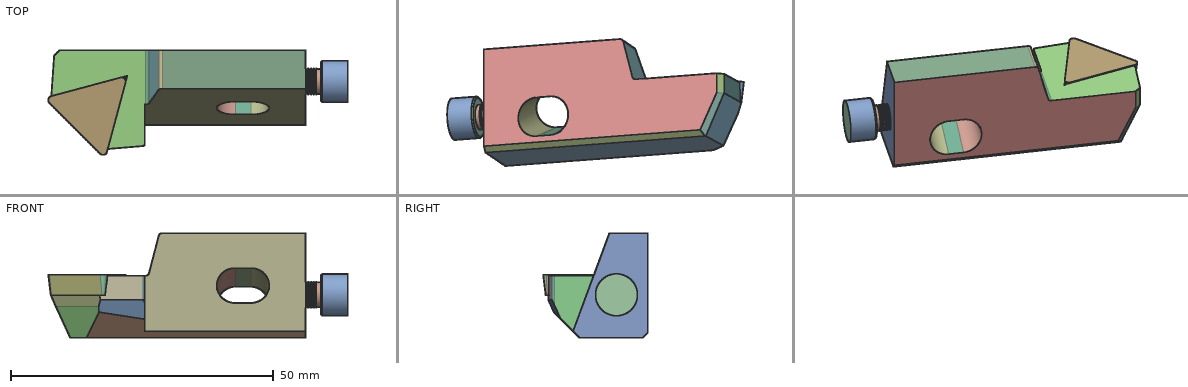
import cadquery as cq
import math

total_length = 57.15
total_depth = 20.0
total_height = 20.0
cutter_margin = 11.45

block_start_x = 18.45
block_end_x = 49.1
block_top_depth = 7.4
front_tilt = 20.0
underside_front_y = -13.05
front_bevel_height = 1.25
bevel_angle = 45.0
back_chamfer = 1.05

shoulder_foot_x = 19.1
shoulder_top_x = 21.2
shoulder_foot_radius = 0.7
shoulder_top_radius = 0.75

slot_center_x = 37.15
slot_center_z = 10.0
slot_length = 10.0
slot_width = 7.1

head_top_z = 11.9
head_left_x = 1.2
side_angle = 4.8
left_angle = 4.0
head_front_y = -18.3
head_corner_radius = 0.45
front_slope_top_z = 7.25
wall_slope = 24.5
nose_slope_top_z = 6.05
nose_slope = 20.0
corner_slope = 17.9

insert_top_z = 12.05
insert_thickness = 3.95
insert_inradius = 4.75
insert_nose_radius = 0.8
insert_relief = 7.0
edge_angle = 60.0
insert_turn = 45.0

screw_y = -6.0
screw_z = 8.25
thread_radius = 2.5
thread_pitch = 0.5
thread_depth = 0.3
thread_count = 4
neck_radius = 2.4
head_start_x = 52.0
screw_head_radius = 4.0
screw_head_chamfer = 0.3


def tangent(degrees):
    return math.tan(math.radians(degrees))


corner_reach = 2 * insert_inradius
nose_center_reach = corner_reach - 2 * insert_nose_radius
insert_center_x = nose_center_reach * math.cos(math.radians(edge_angle - insert_turn)) + insert_nose_radius
insert_center_y = insert_center_x - total_depth
left_slope_top_z = insert_top_z - insert_thickness

edge_sum = insert_center_x + insert_center_y - math.sqrt(2) * insert_inradius


def insert_triangle():
    corners = []
    for turn in (0, 120, 240):
        angle = math.radians(insert_turn + turn)
        x = insert_center_x + corner_reach * math.cos(angle)
        y = insert_center_y + corner_reach * math.sin(angle)
        corners.append((x, y))
    return cq.Sketch().polygon(corners + corners[:1])


def tapered_insert(outline):
    top = cq.Workplane("XY").workplane(offset=insert_top_z)
    return top.placeSketch(outline).extrude(-insert_thickness, taper=insert_relief)


def make_insert():
    return tapered_insert(insert_triangle().vertices().fillet(insert_nose_radius))


def insert_pocket():
    """Sharp-cornered seat that leaves a small gap at the rounded inner nose of the insert."""
    return tapered_insert(insert_triangle())


def undercut(start, end, top_z, bottom_z, slope):
    """Wedge below a wall running from start to end, part on the left of that direction."""
    dx, dy = end[0] - start[0], end[1] - start[1]
    inward = (top_z - bottom_z) * tangent(slope)
    plane = cq.Plane(origin=(start[0], start[1], 0), xDir=(-dy, dx, 0), normal=(dx, dy, 0))
    wedge = [(0, top_z), (inward, bottom_z), (-cutter_margin, bottom_z), (-cutter_margin, top_z)]
    reach = math.hypot(dx, dy) + 2 * cutter_margin
    return cq.Workplane(plane).workplane(offset=-cutter_margin).polyline(wedge).close().extrude(reach)


def make_head():
    left_slide = tangent(left_angle)
    left_corner_y = (edge_sum - head_left_x) / (1 + left_slide)
    left_corner = (edge_sum - left_corner_y, left_corner_y)

    front_slide = tangent(side_angle)
    front_x = (edge_sum - head_front_y + front_slide * block_start_x) / (1 + front_slide)
    front_corner = (front_x, edge_sum - front_x)
    front_end = (block_start_x, head_front_y)
    left_end = (head_left_x - left_slide * back_chamfer, -back_chamfer)

    plan = [(block_start_x, 0), (head_left_x + back_chamfer, 0), left_end, left_corner,
            front_corner, front_end]
    head = cq.Workplane("XY").polyline(plan).close().extrude(head_top_z)
    head = head.edges(cq.selectors.NearestToPointSelector((*front_end, head_top_z / 2)))
    head = head.fillet(head_corner_radius)

    nose_shift = (insert_top_z - nose_slope_top_z) * tangent(insert_relief) / math.sqrt(2)
    nose_start = (left_corner[0] + nose_shift, left_corner[1] + nose_shift)
    nose_end = (front_corner[0] + nose_shift, front_corner[1] + nose_shift)
    head = head.cut(undercut(left_corner, front_corner, insert_top_z, nose_slope_top_z, insert_relief))
    head = head.cut(undercut(nose_start, nose_end, nose_slope_top_z, 0, nose_slope))

    chamfer_start = (head_left_x + back_chamfer, 0)
    head = head.cut(undercut(chamfer_start, left_end, left_slope_top_z, 0, corner_slope))
    head = head.cut(undercut(left_end, left_corner, left_slope_top_z, 0, wall_slope))
    head = head.cut(undercut(front_corner, front_end, front_slope_top_z, 0, wall_slope))
    bevel_wall = -underside_front_y + front_slope_top_z * tangent(bevel_angle)
    bevel_start = (0, -bevel_wall)
    bevel_end = (block_start_x, -bevel_wall)
    return head.cut(undercut(bevel_start, bevel_end, front_slope_top_z, 0, bevel_angle))


def make_block():
    bevel_y = underside_front_y - front_bevel_height * tangent(bevel_angle)
    section = [(0, 0), (underside_front_y, 0), (bevel_y, front_bevel_height),
               (-block_top_depth, total_height), (0, total_height)]
    block = cq.Workplane("YZ").workplane(offset=block_start_x).polyline(section).close()
    block = block.extrude(block_end_x - block_start_x)
    block = block.cut(shoulder_clearance())
    top = cq.selectors.NearestToPointSelector((shoulder_top_x, -block_top_depth / 2, total_height))
    return block.edges(top).fillet(shoulder_top_radius)


def shoulder_clearance():
    outline = [(0, head_top_z), (shoulder_foot_x, head_top_z), (shoulder_top_x, total_height),
               (0, total_height)]
    clearance = cq.Workplane("XZ").polyline(outline).close().extrude(total_depth)
    foot = cq.selectors.NearestToPointSelector((shoulder_foot_x, -total_depth / 2, head_top_z))
    return clearance.edges(foot).fillet(shoulder_foot_radius)


def slot_cutter():
    tilt = math.radians(front_tilt)
    face_y = -block_top_depth - (total_height - slot_center_z) * tangent(front_tilt)
    face = cq.Plane(origin=(slot_center_x, face_y, slot_center_z), xDir=(1, 0, 0),
                    normal=(0, -math.cos(tilt), math.sin(tilt)))
    cutter = cq.Workplane(face).slot2D(slot_length, slot_width)
    return cutter.extrude(total_depth, both=True)


def make_screw():
    outline = [(block_end_x, 0), (block_end_x, thread_radius)]
    for turn in range(thread_count):
        crest_x = block_end_x + turn * thread_pitch
        outline.append((crest_x + thread_pitch / 2, thread_radius - thread_depth))
        outline.append((crest_x + thread_pitch, thread_radius))
    thread_end_x = block_end_x + thread_count * thread_pitch
    outline += [(thread_end_x, neck_radius), (head_start_x, neck_radius),
                (head_start_x, screw_head_radius - screw_head_chamfer),
                (head_start_x + screw_head_chamfer, screw_head_radius),
                (total_length, screw_head_radius), (total_length, 0)]
    axis = cq.Workplane("XY", origin=(0, screw_y, screw_z))
    return axis.polyline(outline).close().revolve(360, (0, 0), (1, 0))


def make_housing():
    housing = make_head().union(make_block())
    chamfer = cq.Workplane("YZ").polyline([(0, 0), (-back_chamfer, 0), (0, back_chamfer)]).close()
    housing = housing.cut(chamfer.extrude(total_length))
    housing = housing.cut(slot_cutter()).cut(insert_pocket())
    return housing.union(make_screw()).solids()


housing = make_housing()
insert = make_insert()

result = cq.Compound.makeCompound([housing.val(), insert.val()])